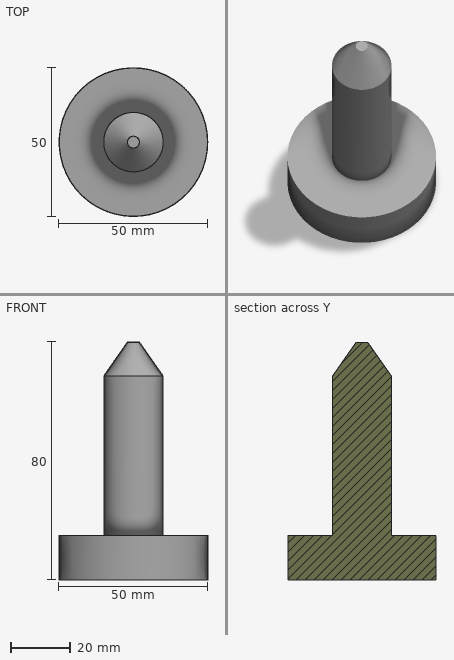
import cadquery as cq

total_height = 80.0
base_diameter = 50.0
base_height = 0.3 * base_diameter
pin_diameter = 0.4 * base_diameter
tip_diameter = pin_diameter / 5
tip_height = 11.4

base_radius = base_diameter / 2
pin_radius = pin_diameter / 2
tip_radius = tip_diameter / 2
shoulder_height = total_height - tip_height

half_section = (
    cq.Workplane("XZ")
    .moveTo(0, 0)
    .lineTo(base_radius, 0)
    .lineTo(base_radius, base_height)
    .lineTo(pin_radius, base_height)
    .lineTo(pin_radius, shoulder_height)
    .lineTo(tip_radius, total_height)
    .lineTo(0, total_height)
    .close()
)

result = half_section.revolve(360, (0, 0, 0), (0, 1, 0))